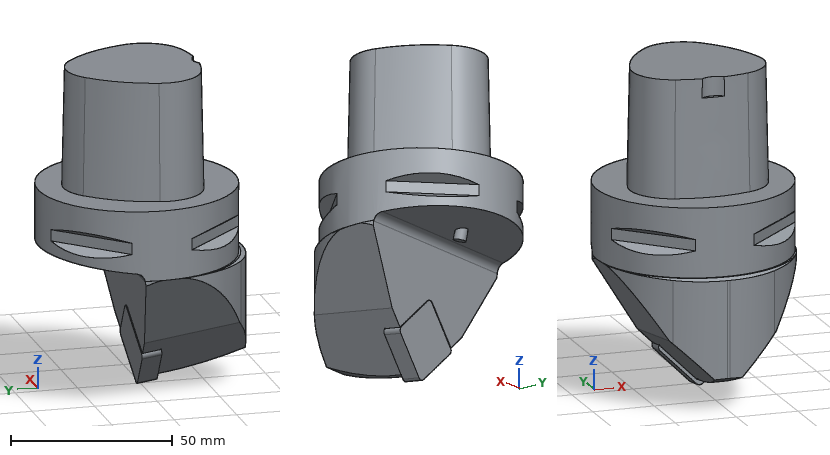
import cadquery as cq
import math


shank_height = 38.0
shank_flat_reach = 20.1
shank_lobe_reach = 23.5
shank_seam_reach = 21.9
shank_seam_angle = 26
shank_taper = 0.8
notch_diameter = 11.1
notch_depth = 6.2
notch_axis_y = -23.4

flange_diameter = 63.0
flange_radius = flange_diameter / 2
flange_height = 22.5
slot_center_z = -11.9
slot_floor_distance = 28.0
slot_floor_height = 3.6
slot_side_angle = 30

tip_z = -65.0
head_half_width = 31.6
head_front_y = -33.8
ridge_half_width = 0.4
front_arc_radius = 28.9
front_arc_angle = 34
shoulder_top_radius = 32.1
shoulder_height = 0.9
flank_apex_height = 0.9
flank_corner_x = 17.5
flank_upper_angle = 30.7
underside_back = (-6.1, -62.1)
underside_middle = (-20.4, -59.4)
underside_front = (head_front_y, -54.6)

tilt = 8
face_setback = 0.3
relief_edge_z = -18.0
relief_angle = 5
relief_fillet = 3.1

insert_side = 19.1
insert_corner_radius = 1.6
insert_thickness = 6.4

nozzle_diameter = 4.0
nozzle_end_y = 15.0
nozzle_end_z = -22.6
nozzle_angle = 13
nozzle_length = 6.2

clear = 82.4

tilt_sin = math.sin(math.radians(tilt))
tilt_cos = math.cos(math.radians(tilt))
tilt_tan = tilt_sin / tilt_cos
face_plane = cq.Plane(origin=(0, 0, tip_z), xDir=(-1, 0, 0), normal=(0, tilt_cos, -tilt_sin))


def lobed_wire(inset, z):
    """Closed outline of three lobes and three wide arcs, one lobe pointing to +Y."""

    def point(reach, angle):
        a = math.radians(angle)
        return cq.Vector((reach - inset) * math.sin(a), (reach - inset) * math.cos(a), z)

    edges = []
    for lobe_angle in (0, 120, 240):
        lobe_start = point(shank_seam_reach, lobe_angle - shank_seam_angle)
        lobe_middle = point(shank_lobe_reach, lobe_angle)
        lobe_end = point(shank_seam_reach, lobe_angle + shank_seam_angle)
        flat_middle = point(shank_flat_reach, lobe_angle + 60)
        next_start = point(shank_seam_reach, lobe_angle + 120 - shank_seam_angle)
        edges.append(cq.Edge.makeThreePointArc(lobe_start, lobe_middle, lobe_end))
        edges.append(cq.Edge.makeThreePointArc(lobe_end, flat_middle, next_start))
    return cq.Wire.assembleEdges(edges)


def make_shank():
    bottom = lobed_wire(0, 0)
    top = lobed_wire(shank_taper, shank_height)
    shank = cq.Workplane(cq.Solid.makeLoft([bottom, top], True))
    notch = (
        cq.Workplane("XY", origin=(0, notch_axis_y, shank_height - notch_depth))
        .circle(notch_diameter / 2)
        .extrude(notch_depth)
    )
    return shank.cut(notch)


def gripper_slot(angle):
    """Straight slot with a flat floor and sloping sides, cut across the rim."""
    depth = flange_radius - slot_floor_distance
    half_floor = slot_floor_height / 2
    half_mouth = half_floor + depth * math.tan(math.radians(slot_side_angle))
    return (
        cq.Workplane("XZ")
        .moveTo(slot_floor_distance, slot_center_z - half_floor)
        .lineTo(flange_radius, slot_center_z - half_mouth)
        .lineTo(flange_radius, slot_center_z + half_mouth)
        .lineTo(slot_floor_distance, slot_center_z + half_floor)
        .close()
        .extrude(flange_radius, both=True)
        .rotate((0, 0, 0), (0, 0, 1), angle)
    )


def make_flange():
    flange = cq.Workplane("XY").circle(flange_radius).extrude(-flange_height)
    for angle in (45, 135, 225, 315):
        flange = flange.cut(gripper_slot(angle))
    return flange


def head_blank():
    """Column under the flange: a flat front strip, two front arcs and two wider side arcs."""
    front_center = (ridge_half_width, head_front_y + front_arc_radius)
    seam_sin = math.sin(math.radians(front_arc_angle))
    seam_cos = math.cos(math.radians(front_arc_angle))
    radius_gain = (head_half_width - ridge_half_width - front_arc_radius) / (1 - seam_sin)
    side_radius = front_arc_radius + radius_gain
    side_center = (front_center[0] - radius_gain * seam_sin, front_center[1] + radius_gain * seam_cos)

    def on_arc(center, radius, angle):
        a = math.radians(angle)
        return (center[0] + radius * math.sin(a), center[1] - radius * math.cos(a))

    def mirrored(point):
        return (-point[0], point[1])

    side_end_angle = 110
    strip_end = (ridge_half_width, head_front_y)
    front_middle = on_arc(front_center, front_arc_radius, front_arc_angle / 2)
    seam = on_arc(front_center, front_arc_radius, front_arc_angle)
    side_middle = on_arc(side_center, side_radius, (front_arc_angle + side_end_angle) / 2)
    side_end = on_arc(side_center, side_radius, side_end_angle)
    column = (
        cq.Workplane("XY", origin=(0, 0, -flange_height))
        .moveTo(*mirrored(strip_end))
        .lineTo(*strip_end)
        .threePointArc(front_middle, seam)
        .threePointArc(side_middle, side_end)
        .lineTo(*mirrored(side_end))
        .threePointArc(mirrored(side_middle), mirrored(seam))
        .threePointArc(mirrored(front_middle), mirrored(strip_end))
        .close()
        .extrude(tip_z + flange_height)
    )
    shoulder_radius = shoulder_top_radius - head_front_y - flange_radius
    shoulder = (
        cq.Workplane("XZ")
        .moveTo(0, -flange_height)
        .lineTo(shoulder_top_radius, -flange_height)
        .lineTo(shoulder_radius, -flange_height - shoulder_height)
        .lineTo(shoulder_radius, tip_z)
        .lineTo(0, tip_z)
        .close()
        .revolve(360, (0, 0, 0), (0, 1, 0))
    )
    return column.intersect(shoulder)


def flank_prism():
    """Pointed prism square to the rake face that leaves the head's four flanks."""
    corner_height = flank_apex_height + flank_corner_x
    upper_rise = clear - corner_height
    top_x = flank_corner_x + upper_rise * math.tan(math.radians(flank_upper_angle))
    return (
        cq.Workplane(face_plane)
        .moveTo(0, flank_apex_height)
        .lineTo(flank_corner_x, corner_height)
        .lineTo(top_x, clear)
        .lineTo(-top_x, clear)
        .lineTo(-flank_corner_x, corner_height)
        .close()
        .extrude(clear, both=True)
    )


def underside_cut():
    """Everything below the head's rounded underside."""
    return (
        cq.Workplane("YZ")
        .moveTo(*underside_back)
        .threePointArc(underside_middle, underside_front)
        .lineTo(underside_front[0], -clear)
        .lineTo(underside_back[0], -clear)
        .close()
        .extrude(clear, both=True)
    )


def relief_cut():
    """Space behind the rake face and under the flange, with a rounded inner corner."""
    relief_slope = math.tan(math.radians(relief_angle))
    setback_y = face_setback / tilt_cos
    rise = relief_edge_z - tip_z - (flange_radius + setback_y) * relief_slope
    corner_rise = rise / (1 - tilt_tan * relief_slope)
    corner = (corner_rise * tilt_tan - setback_y, tip_z + corner_rise)
    cutter = (
        cq.Workplane("YZ")
        .moveTo(*corner)
        .lineTo(clear, relief_edge_z + (clear - flange_radius) * relief_slope)
        .lineTo(clear, -clear)
        .lineTo((-clear - tip_z) * tilt_tan - setback_y, -clear)
        .close()
        .extrude(clear, both=True)
    )
    near_corner = cq.selectors.NearestToPointSelector((0, *corner))
    return cutter.edges(near_corner).fillet(relief_fillet)


def make_nozzle():
    a = math.radians(nozzle_angle)
    axis = (0, math.sin(a), math.cos(a))
    plane = cq.Plane(origin=(0, nozzle_end_y, nozzle_end_z), xDir=(1, 0, 0), normal=axis)
    return cq.Workplane(plane).circle(nozzle_diameter / 2).extrude(nozzle_length)


def make_insert():
    """Square plate on its corner; its lowest rounded corner touches the tip level."""
    corner_loss = insert_corner_radius * (math.sqrt(2) - 1)
    center_height = insert_side / math.sqrt(2) - corner_loss
    return (
        cq.Workplane(face_plane)
        .center(0, center_height)
        .transformed(rotate=(0, 0, 45))
        .rect(insert_side, insert_side)
        .extrude(-insert_thickness)
        .edges(cq.selectors.ParallelDirSelector(face_plane.zDir))
        .fillet(insert_corner_radius)
    )


def make_holder(insert):
    head = head_blank().intersect(flank_prism()).cut(underside_cut())
    holder = make_flange().union(head).cut(relief_cut())
    return holder.union(make_shank()).union(make_nozzle()).cut(insert)


insert = make_insert()
holder = make_holder(insert)
result = cq.Compound.makeCompound([holder.solids().val(), insert.val()])